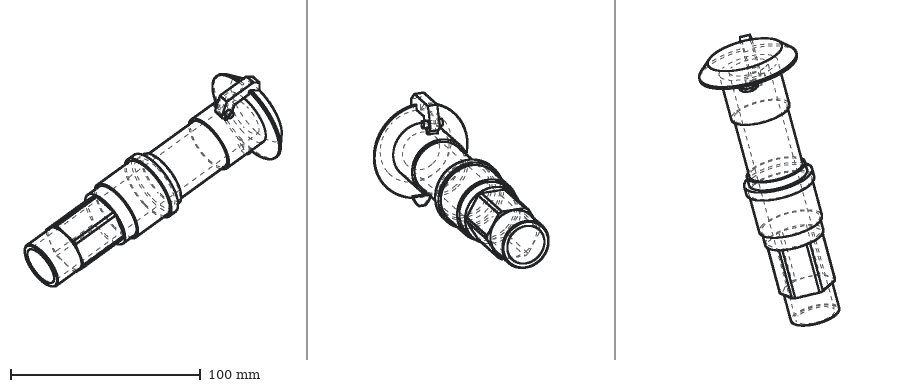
import cadquery as cq
import math

LENGTH = 152.0
TOTAL_HEIGHT = 62.2

CAP_DIAMETER = 52.9
CAP_CONE_HEIGHT = 6.2
CAP_HEIGHT = 7.5
CAP_FACE_DIAMETER = CAP_DIAMETER - 2 * CAP_CONE_HEIGHT

SLEEVE_DIAMETER = 31.8
NECK_DIAMETER = 29.0
FLANGE_DIAMETER = 37.1
BARREL_DIAMETER = 34.4
SPIGOT_DIAMETER = 26.5
SLEEVE_END = 33.5
NECK_END = 67.0
COLLAR_END = 71.6
FLANGE_END = 76.3
BARREL_END = 98.6
HEX_START = 106.5
HEX_END = 135.0
HEX_ACROSS_FLATS = 27.0
HEX_CORNER_DIAMETER = 30.1
SPIGOT_CHAMFER = 0.5
BORE_DIAMETER = 21.1

LEVER_WIDTH = 5.3
LEVER_TOP = 31.6
LEVER_BEVEL = 4.5
LEVER_UNDERSIDE = 23.7
LEVER_TOP_END = 23.3
LEVER_UNDERSIDE_END = 17.5
PIVOT_DISTANCE = 22.6
PIVOT_HEIGHT = 21.1
PIVOT_EYE_RADIUS = 4.0
PIN_DIAMETER = 4.0
PIN_LENGTH = 10.6
LUG_LENGTH = 2.9

TAB_THICKNESS = 1.7
TAB_TOP = -25.0
TAB_SHOULDER = -27.7
TAB_BOTTOM = LEVER_TOP - TOTAL_HEIGHT
TAB_HALF_WIDTH = 5.0
TAB_SHOULDER_HALF_WIDTH = 4.0
TAB_TIP_HALF_WIDTH = 1.7


def cylinder(diameter, start, end):
    """Cylinder on the body axis between two distances from the cap face."""
    plane = cq.Workplane("XZ", origin=(0, -start, 0))
    return plane.circle(diameter / 2).extrude(end - start)


def make_cap():
    outline = [
        (0, 0),
        (CAP_FACE_DIAMETER / 2, 0),
        (CAP_DIAMETER / 2, -CAP_CONE_HEIGHT),
        (CAP_DIAMETER / 2, -CAP_HEIGHT),
        (0, -CAP_HEIGHT),
    ]
    return cq.Workplane("XY").polyline(outline).close().revolve(360, (0, 0), (0, 1))


def make_hex():
    """Hexagon with flats at top and bottom and its corners turned down."""
    across_corners = HEX_ACROSS_FLATS / math.cos(math.pi / 6)
    plane = cq.Workplane("XZ", origin=(0, -HEX_START, 0))
    prism = plane.polygon(6, across_corners).extrude(HEX_END - HEX_START)
    return prism.intersect(cylinder(HEX_CORNER_DIAMETER, HEX_START, HEX_END))


def make_body():
    steps = [
        (SLEEVE_DIAMETER, SLEEVE_END),
        (NECK_DIAMETER, NECK_END),
        (SLEEVE_DIAMETER, COLLAR_END),
        (FLANGE_DIAMETER, FLANGE_END),
        (BARREL_DIAMETER, BARREL_END),
        (SLEEVE_DIAMETER, HEX_START),
    ]
    body = make_cap()
    start = CAP_HEIGHT
    for diameter, end in steps:
        body = body.union(cylinder(diameter, start, end))
        start = end
    spigot = cylinder(SPIGOT_DIAMETER, HEX_END, LENGTH).faces("<Y").chamfer(SPIGOT_CHAMFER)
    body = body.union(make_hex()).union(spigot)
    return body.cut(cylinder(BORE_DIAMETER, CAP_HEIGHT, LENGTH))


def make_lever():
    run = LEVER_TOP_END - PIVOT_DISTANCE
    rise = LEVER_TOP - PIVOT_HEIGHT
    tangent_angle = math.atan2(rise, -run) + math.acos(PIVOT_EYE_RADIUS / math.hypot(run, rise))
    tangent_point = (
        -PIVOT_DISTANCE + PIVOT_EYE_RADIUS * math.cos(tangent_angle),
        PIVOT_HEIGHT + PIVOT_EYE_RADIUS * math.sin(tangent_angle),
    )
    lever = (
        cq.Workplane("YZ")
        .moveTo(0, CAP_FACE_DIAMETER / 2)
        .lineTo(0, LEVER_TOP - LEVER_BEVEL)
        .lineTo(-LEVER_BEVEL, LEVER_TOP)
        .lineTo(-LEVER_TOP_END, LEVER_TOP)
        .lineTo(*tangent_point)
        .threePointArc(
            (-PIVOT_DISTANCE, PIVOT_HEIGHT - PIVOT_EYE_RADIUS),
            (-PIVOT_DISTANCE + PIVOT_EYE_RADIUS, PIVOT_HEIGHT),
        )
        .lineTo(-LEVER_UNDERSIDE_END, LEVER_UNDERSIDE)
        .lineTo(-CAP_HEIGHT, LEVER_UNDERSIDE)
        .close()
        .extrude(LEVER_WIDTH / 2, both=True)
    )
    pivot_plane = cq.Workplane("YZ", origin=(0, -PIVOT_DISTANCE, PIVOT_HEIGHT))
    pin = pivot_plane.circle(PIN_DIAMETER / 2).extrude(PIN_LENGTH / 2, both=True)
    lug_bottom = (SLEEVE_DIAMETER + BORE_DIAMETER) / 4
    lug_height = PIVOT_HEIGHT - lug_bottom
    lug = cq.Workplane("XY").box(LEVER_WIDTH, LUG_LENGTH, lug_height, centered=(True, True, False))
    lug = lug.translate((0, -PIVOT_DISTANCE, lug_bottom))
    return lever.union(pin).union(lug)


def make_tab():
    return (
        cq.Workplane("XZ", origin=(0, -CAP_HEIGHT, 0))
        .moveTo(-TAB_HALF_WIDTH, TAB_TOP)
        .lineTo(TAB_HALF_WIDTH, TAB_TOP)
        .threePointArc((TAB_SHOULDER_HALF_WIDTH, TAB_SHOULDER), (TAB_TIP_HALF_WIDTH, TAB_BOTTOM))
        .lineTo(-TAB_TIP_HALF_WIDTH, TAB_BOTTOM)
        .threePointArc((-TAB_SHOULDER_HALF_WIDTH, TAB_SHOULDER), (-TAB_HALF_WIDTH, TAB_TOP))
        .close()
        .extrude(TAB_THICKNESS)
    )


result = make_body().union(make_lever()).union(make_tab())